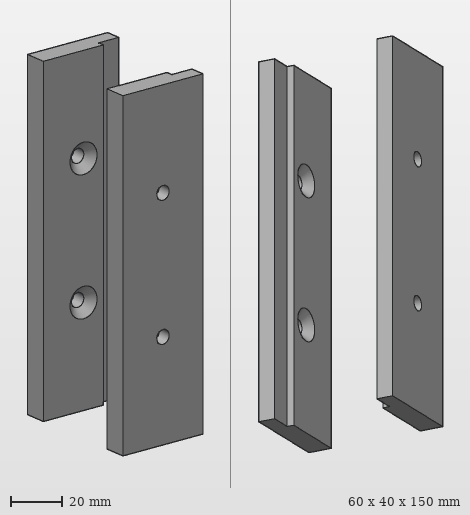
import cadquery as cq

height = 150.0
depth = 40.0
overall_width = 60.0
thickness = 10.0

step_depth = 3.0
step_width = 10.0

hole_diameter = 6.2
sink_diameter = 13.5
sink_angle = 90.0
hole_spacing = 60.0


def stepped_plate():
    """Left plate: outer face at -X, stepped along the +Y end of its inner face."""
    outer_x = -overall_width / 2
    inner_x = outer_x + thickness
    front_y = -depth / 2
    rear_y = depth / 2
    return (
        cq.Workplane("XY")
        .workplane(offset=-height / 2)
        .moveTo(outer_x, front_y)
        .lineTo(inner_x, front_y)
        .lineTo(inner_x, rear_y - step_width)
        .lineTo(inner_x - step_depth, rear_y - step_width)
        .lineTo(inner_x - step_depth, rear_y)
        .lineTo(outer_x, rear_y)
        .close()
        .extrude(height)
    )


def drill_screw_holes(plate, face_selector):
    """Drill two through holes along X, countersunk on the selected face."""
    return (
        plate.faces(face_selector)
        .workplane(origin=(0, 0, 0))
        .pushPoints([(0, -hole_spacing / 2), (0, hole_spacing / 2)])
        .cskHole(hole_diameter, sink_diameter, sink_angle)
    )


left_plate = drill_screw_holes(stepped_plate(), ">X")
right_plate = drill_screw_holes(stepped_plate().mirror("YZ"), "<X")

result = cq.Compound.makeCompound([left_plate.val(), right_plate.val()])